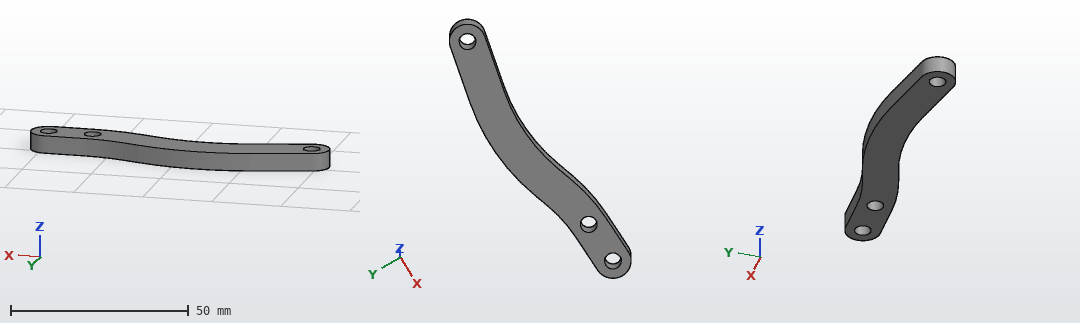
import cadquery as cq

overall_length = 86.4
thickness = 5.1
end_radius = 5.1
hole_diameter = 4.7
hole_span = overall_length - 2 * end_radius
hole_pitch = 12.7
hole_positions = [0, hole_span - hole_pitch, hole_span]

start = cq.Vector(0, 0)
upper_corner = cq.Vector(31.7, 7.8)
lower_corner = cq.Vector(57.9, 0)
finish = cq.Vector(hole_span, 0)
upper_bend_radius = 57.0
lower_bend_radius = 45.8


def rounded_corner(before, corner, after, radius):
    """Return the start, middle and end of the arc that rounds a corner."""
    toward_before = (before - corner).normalized()
    toward_after = (after - corner).normalized()
    bisector = (toward_before + toward_after).normalized()
    cosine = bisector.dot(toward_before)
    sine = (1 - cosine**2) ** 0.5
    setback = radius * cosine / sine
    middle_gap = radius / sine - radius
    return (
        corner + toward_before * setback,
        corner + bisector * middle_gap,
        corner + toward_after * setback,
    )


upper_bend = rounded_corner(start, upper_corner, lower_corner, upper_bend_radius)
lower_bend = rounded_corner(upper_corner, lower_corner, finish, lower_bend_radius)

centreline = cq.Wire.assembleEdges([
    cq.Edge.makeLine(start, upper_bend[0]),
    cq.Edge.makeThreePointArc(*upper_bend),
    cq.Edge.makeLine(upper_bend[2], lower_bend[0]),
    cq.Edge.makeThreePointArc(*lower_bend),
    cq.Edge.makeLine(lower_bend[2], finish),
])

outline = centreline.offset2D(end_radius, "arc")[0]
bar = cq.Workplane("XY").add(outline).toPending().extrude(thickness)

holes = (
    cq.Workplane("XY")
    .pushPoints([(x, 0) for x in hole_positions])
    .circle(hole_diameter / 2)
    .extrude(thickness)
)

result = bar.cut(holes)